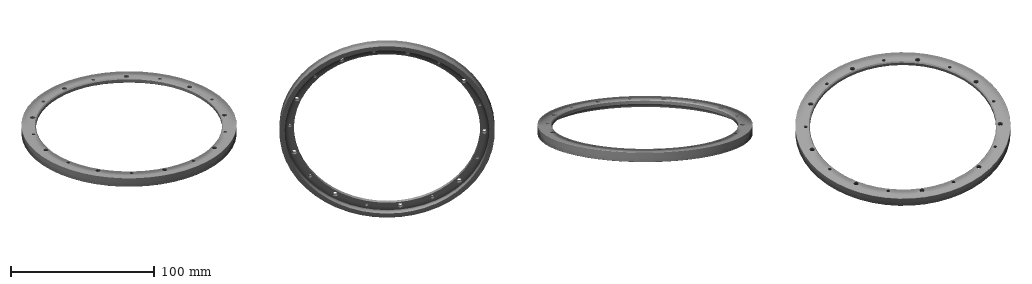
import cadquery as cq

outer_diameter = 150.3
bore_diameter = 130.0
thickness = 7.0
rim_chamfer = 0.2
bore_chamfer = 0.8

recess_diameter = 143.0
flange_thickness = 3.0
recess_depth = thickness - flange_thickness

pitch_diameter = 135.9
holes_per_set = 9
large_hole_diameter = 3.6
small_hole_diameter = 2.5
large_start_angle = -90.0
small_start_angle = 90.0


def disc(diameter, height):
    return cq.Workplane("XY").circle(diameter / 2).extrude(height)


def make_ring():
    body = disc(outer_diameter, thickness).edges("%CIRCLE").chamfer(rim_chamfer)
    body = body.cut(disc(recess_diameter, recess_depth))
    body = body.cut(disc(bore_diameter, thickness))
    bore_edge = body.faces(">Z").edges(cq.selectors.RadiusNthSelector(0))
    return bore_edge.chamfer(bore_chamfer)


def hole_set(diameter, start_angle):
    return (
        cq.Workplane("XY")
        .polarArray(pitch_diameter / 2, start_angle, 360, holes_per_set)
        .circle(diameter / 2)
        .extrude(thickness)
    )


large_holes = hole_set(large_hole_diameter, large_start_angle)
small_holes = hole_set(small_hole_diameter, small_start_angle)
result = make_ring().cut(large_holes).cut(small_holes)